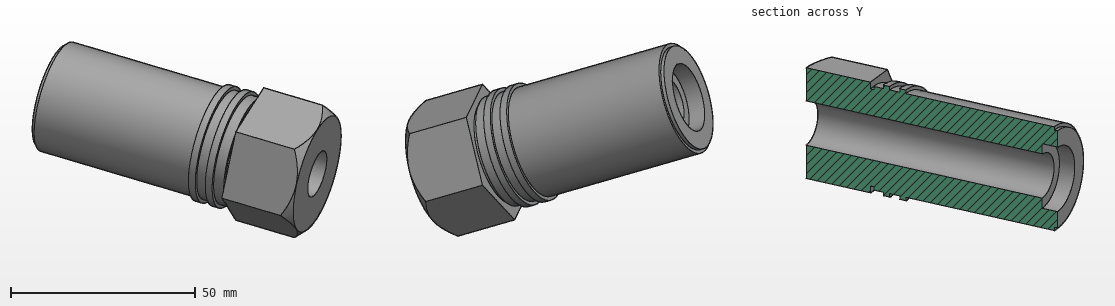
import cadquery as cq
import math

TOTAL_LENGTH = 78.0
HEX_LENGTH = 20.0

HEX_FLATS = 33.0
HEX_CORNERS = HEX_FLATS / math.cos(math.radians(30))
HEX_CHAMFER_START_DIAMETER = 32.8
HEX_CHAMFER = (HEX_CORNERS - HEX_CHAMFER_START_DIAMETER) / 2

BODY_DIAMETER = 31.0
NECK_DIAMETER = 29.0
NECK_LENGTH = 1.0

RING_DIAMETER = HEX_FLATS
RING_WIDTH = 2.0
RING_PITCH = 5.0
FIRST_RING_X = 47.0
RING_COUNT = 2

BORE_DIAMETER = 13.0
COUNTERBORE_DIAMETER = 19.0
COUNTERBORE_DEPTH = 4.75

HEX_X = TOTAL_LENGTH - HEX_LENGTH


def cylinder(start_x, length, diameter):
    """Cylinder around the X axis, growing toward +X from start_x."""
    return cq.Workplane("YZ").workplane(offset=start_x).circle(diameter / 2).extrude(length)


def make_hex_head():
    """Hexagon with corners on the Y axis, its outer end chamfered by a cone."""
    hexagon = cq.Workplane("YZ").workplane(offset=HEX_X).polygon(6, HEX_CORNERS).extrude(HEX_LENGTH)
    chamfered_round = cylinder(HEX_X, HEX_LENGTH, HEX_CORNERS).faces(">X").chamfer(HEX_CHAMFER)
    return hexagon.intersect(chamfered_round)


def make_sleeve():
    """Neck over the whole sleeve length, thicker body between its ends, and raised rings."""
    neck = cylinder(0, HEX_X, NECK_DIAMETER)
    body = cylinder(NECK_LENGTH, HEX_X - 2 * NECK_LENGTH, BODY_DIAMETER)
    sleeve = neck.union(body)
    for index in range(RING_COUNT):
        ring_x = FIRST_RING_X + index * RING_PITCH
        sleeve = sleeve.union(cylinder(ring_x, RING_WIDTH, RING_DIAMETER))
    return sleeve


bore = cylinder(0, TOTAL_LENGTH, BORE_DIAMETER)
counterbore = cylinder(0, COUNTERBORE_DEPTH, COUNTERBORE_DIAMETER)

result = make_sleeve().union(make_hex_head()).cut(bore).cut(counterbore)